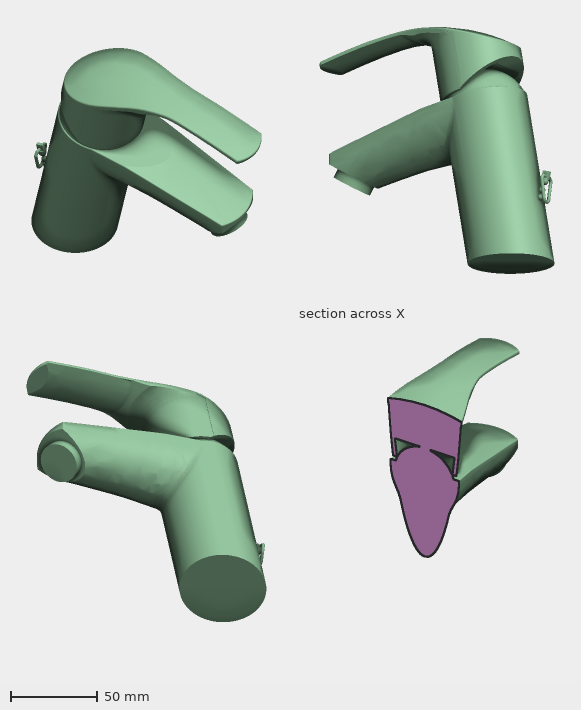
import cadquery as cq
import math

LEAN = 10.0

BODY_RADIUS = 25.0
BODY_LENGTH = 100.8
RIM_ROUND = 0.8
DOME_RADIUS = 25.1
DOME_CENTRE = 93.7

SPOUT_TOP = [(-3.0, 107.4), (41.3, 97.6), (78.1, 86.8), (116.0, 75.3), (126.2, 71.8)]
SPOUT_SECTIONS = [
    (21.0, 99.7, 65.0),
    (36.0, 96.9, 64.6),
    (58.6, 91.8, 62.3),
    (89.4, 83.5, 56.2),
    (120.2, 73.9, 47.8),
]
SPOUT_WALL = 3.9
SPOUT_TAPER = 0.076
OUTLET_TOP = (111.6, 69.0)
SPOUT_TIP = (116.5, 73.2)
SPOUT_END_X = 111.2
SPOUT_END_HALF_WIDTH = 17.0
SPOUT_CROWN_RADIUS = 120.2
JUNCTION_ROUND = 4.5
JUNCTION_BOX = [(22.5, -30.0, 60.1), (45.0, 30.0, 99.1)]

AERATOR_RADIUS = 23.6 / 2
AERATOR_HEIGHT = 9.0
AERATOR_TILT = 31.0
AERATOR_MOUTH = (105.8, 58.7)

HANDLE_RADIUS = 25.7
HANDLE_FRONT_RADIUS = 25.4
HANDLE_BOTTOM = 103.4
HANDLE_BACK_BOTTOM = 120.0
HANDLE_BEVEL_END = 2.3
HANDLE_HEIGHT = 60.1
BORE_RADIUS = 45.8 / 2
BORE_TOP = 115.7
LEVER_TOP = [
    (-9.0, 127.0),
    (-2.9, 130.4),
    (22.2, 140.8),
    (45.2, 144.5),
    (63.8, 144.7),
    (91.6, 140.5),
    (129.2, 130.2),
]
LEVER_CROWN_RADIUS = 87.1
LEVER_THICKNESS = 5.4
LEVER_EDGE_DROP = 3.2
LEVER_MIN_EDGE = 1.5
LEVER_HALF_WIDTH = 13.4
LEVER_SIDE = [(8.1, 24.5), (20.1, 20.6), (30.5, 17.0), (40.9, 14.5)]
LEVER_STRAIGHT_FROM = 53.5
LEVER_SHOULDER = 94.6
LEVER_TIP = 99.6
LEVER_TIP_BEVEL = [(111.8, 128.9), (126.2, 129.8)]
LEVER_RIM_ROUND = 1.0
NECK_START = 137.5
NECK_RADIUS = 9.0
NECK_TAIL = (43.5, 151.1)

LOOP_X = -23.5
WIRE_RADIUS = 2.0 / 2
LOOP_TOP = 49.1
LOOP_SHOULDER = 47.3
LOOP_BOTTOM_BEND = 37.0
LOOP_BOTTOM = 34.0
LOOP_TOP_HALF_WIDTH = 3.6
LOOP_SHOULDER_HALF_WIDTH = 5.4
LOOP_BOTTOM_HALF_WIDTH = 3.0
PLATE_SIZE = (4.5, 2.0, 4.5)
PLATE_TILT = 15.0
PLATE_CENTRE = (-23.3, 50.2)
CAP_RADIUS = 2.4
CAP_HEIGHT = 2.0
CAP_CENTRE = (-22.1, 46.5)
BALL_RADIUS = 3.8 / 2
BALLS = [(-20.7, 41.5), (-19.5, 37.3)]
CHAIN_WIRE_RADIUS = 0.7 / 2

WIDE = 90.1
CROWN_HALF_WIDTH = 28.5
CROWN_CLEARANCE = 37.5
UPWARD = 0.7


def leaning(shape):
    """Tip a shape built along Z onto the axis of the column."""
    return shape.rotate((0, 0, 0), (0, 1, 0), LEAN)


def crown_sag(radius, half_width):
    """Drop of a crowned surface from its middle to the given half width."""
    return radius - math.sqrt(radius**2 - half_width**2)


def path_and_plane(path_points):
    """Smooth path in XZ and the plane across its start, with local x along Y and local y upward."""
    path = cq.Workplane("XZ").spline(path_points)
    tangent = path.val().tangentAt(0)
    start = path.val().startPoint()
    return path, cq.Plane(origin=start, xDir=(0, 1, 0), normal=tangent)


def above_crown(path_points, radius):
    """Solid above a crowned surface that follows the path."""
    half = CROWN_HALF_WIDTH
    sag = crown_sag(radius, half)
    path, plane = path_and_plane(path_points)
    section = (
        cq.Workplane(plane)
        .moveTo(-half, -sag)
        .threePointArc((0, 0), (half, -sag))
        .lineTo(half, CROWN_CLEARANCE)
        .lineTo(-half, CROWN_CLEARANCE)
        .close()
    )
    return section.sweep(path)


def round_top_rim(shape, radius):
    """Round the outer rim of the faces that look upward, leaving the edges between them alone."""
    top_faces = [face for face in shape.faces().vals() if face.normalAt().z > UPWARD]
    top_edges = [edge for face in top_faces for edge in face.Edges()]
    rim = [edge for edge in top_edges if sum(edge.isSame(other) for other in top_edges) == 1]
    return shape.newObject(rim).fillet(radius)


def spout_section(spout, x, top, bottom):
    """Draw the U-shaped section across the spout at a distance x from the origin."""
    half = SPOUT_END_HALF_WIDTH + (SPOUT_END_X - x) * SPOUT_TAPER
    wall_end = top - SPOUT_WALL
    return (
        spout.copyWorkplane(cq.Workplane("YZ", origin=(x, 0, 0)))
        .moveTo(half, top + SPOUT_WALL)
        .lineTo(half, wall_end)
        .ellipseArc(half, wall_end - bottom, 180, 360, sense=-1)
        .lineTo(-half, top + SPOUT_WALL)
        .close()
    )


def make_spout():
    spout = cq.Workplane("YZ")
    for x, top, bottom in SPOUT_SECTIONS:
        spout = spout_section(spout, x, top, bottom)
    spout = spout.loft()
    outlet_slope = math.tan(math.radians(AERATOR_TILT))
    root_x = SPOUT_SECTIONS[0][0]
    side = (
        cq.Workplane("XZ")
        .moveTo(root_x, BODY_LENGTH)
        .lineTo(SPOUT_TIP[0], BODY_LENGTH)
        .lineTo(*SPOUT_TIP)
        .lineTo(*OUTLET_TOP)
        .lineTo(root_x, OUTLET_TOP[1] - (OUTLET_TOP[0] - root_x) * outlet_slope)
        .close()
        .extrude(WIDE / 2, both=True)
    )
    tip_plan = (
        cq.Workplane("XY")
        .moveTo(root_x, -BODY_RADIUS)
        .lineTo(SPOUT_END_X, -BODY_RADIUS)
        .lineTo(SPOUT_END_X, -SPOUT_END_HALF_WIDTH)
        .threePointArc((SPOUT_TIP[0], 0), (SPOUT_END_X, SPOUT_END_HALF_WIDTH))
        .lineTo(SPOUT_END_X, BODY_RADIUS)
        .lineTo(root_x, BODY_RADIUS)
        .close()
        .extrude(BODY_LENGTH + SPOUT_WALL)
    )
    return spout.intersect(side).intersect(tip_plan)


def make_dome():
    base_radius = math.sqrt(DOME_RADIUS**2 - (BODY_LENGTH - DOME_CENTRE)**2)
    profile = (
        cq.Workplane("XZ")
        .moveTo(0, DOME_CENTRE)
        .lineTo(base_radius, DOME_CENTRE)
        .lineTo(base_radius, BODY_LENGTH)
        .radiusArc((0, DOME_CENTRE + DOME_RADIUS), -DOME_RADIUS)
        .close()
    )
    return leaning(profile.revolve(360, (0, 0), (0, 1)))


def make_body():
    """Column and spout blended together, then trimmed to their top surfaces and rounded."""
    column = cq.Workplane("XY").workplane(offset=-BODY_RADIUS).circle(BODY_RADIUS)
    column = leaning(column.extrude(BODY_RADIUS + BODY_LENGTH + BODY_RADIUS))
    body = column.union(make_spout())

    junction = cq.selectors.BoxSelector(*JUNCTION_BOX)
    body = body.edges("%BSPLINE").edges(junction).fillet(JUNCTION_ROUND)

    slab = cq.Workplane("XY").box(4 * WIDE, WIDE, WIDE, centered=(True, True, False))
    above_column = leaning(slab.translate((0, 0, BODY_LENGTH)))
    body = body.cut(above_column).cut(above_crown(SPOUT_TOP, SPOUT_CROWN_RADIUS))
    body = body.cut(slab.translate((0, 0, -WIDE)))
    return round_top_rim(body, RIM_ROUND).union(make_dome())


def make_aerator():
    aerator = cq.Workplane("XY").circle(AERATOR_RADIUS).extrude(AERATOR_HEIGHT)
    aerator = aerator.rotate((0, 0, 0), (0, 1, 0), -AERATOR_TILT)
    return aerator.translate((AERATOR_MOUTH[0], 0, AERATOR_MOUTH[1]))


def make_blade():
    """Lever blade with a convex underside and spare material above its crown."""
    half = CROWN_HALF_WIDTH
    sag = crown_sag(LEVER_CROWN_RADIUS, half)
    edge_bottom = -sag - LEVER_MIN_EDGE
    path, plane = path_and_plane(LEVER_TOP)
    return (
        cq.Workplane(plane)
        .moveTo(-half, LEVER_THICKNESS)
        .lineTo(half, LEVER_THICKNESS)
        .lineTo(half, edge_bottom)
        .lineTo(LEVER_HALF_WIDTH, -LEVER_EDGE_DROP)
        .threePointArc((0, -LEVER_THICKNESS), (-LEVER_HALF_WIDTH, -LEVER_EDGE_DROP))
        .lineTo(-half, edge_bottom)
        .close()
        .sweep(path)
    )


def make_handle_core():
    """Round front with a flared neck, joined to a block that fills the back half."""
    neck_end = (HANDLE_FRONT_RADIUS + NECK_RADIUS, NECK_START + NECK_RADIUS)
    front = (
        cq.Workplane("XZ")
        .moveTo(0, HANDLE_BOTTOM)
        .lineTo(HANDLE_FRONT_RADIUS, HANDLE_BOTTOM)
        .lineTo(HANDLE_FRONT_RADIUS, NECK_START)
        .radiusArc(neck_end, NECK_RADIUS)
        .lineTo(*NECK_TAIL)
        .lineTo(0, NECK_TAIL[1])
        .close()
        .revolve(360, (0, 0), (0, 1))
    )
    back = (
        cq.Workplane("XZ")
        .moveTo(0, HANDLE_BOTTOM)
        .lineTo(0, HANDLE_BOTTOM + HANDLE_HEIGHT)
        .lineTo(-WIDE, HANDLE_BOTTOM + HANDLE_HEIGHT)
        .lineTo(-WIDE, HANDLE_BOTTOM)
        .close()
        .extrude(WIDE / 2, both=True)
    )
    return front.union(back)


def make_handle_outline():
    """Prism of the outline: round at the back, narrowing to the blade and its curved tip."""
    straight_start = (LEVER_STRAIGHT_FROM, -LEVER_HALF_WIDTH)
    right_side = [(u, -y) for u, y in LEVER_SIDE] + [straight_start]
    left_side = LEVER_SIDE[::-1] + [(0, HANDLE_RADIUS)]
    return (
        cq.Workplane("XY")
        .moveTo(0, HANDLE_RADIUS)
        .threePointArc((-HANDLE_RADIUS, 0), (0, -HANDLE_RADIUS))
        .spline(right_side, tangents=[(1, 0), (1, 0)], includeCurrent=True)
        .lineTo(LEVER_SHOULDER, -LEVER_HALF_WIDTH)
        .threePointArc((LEVER_TIP, 0), (LEVER_SHOULDER, LEVER_HALF_WIDTH))
        .lineTo(LEVER_STRAIGHT_FROM, LEVER_HALF_WIDTH)
        .spline(left_side, tangents=[(-1, 0), (-1, 0)], includeCurrent=True)
        .close()
        .extrude(HANDLE_BOTTOM + HANDLE_HEIGHT)
    )


def make_handle_recess():
    """Slanted cut under the back of the handle and the bore around the dome."""
    underside_bevel = (
        cq.Workplane("XZ")
        .moveTo(HANDLE_BEVEL_END, HANDLE_BOTTOM)
        .lineTo(-HANDLE_RADIUS, HANDLE_BACK_BOTTOM)
        .lineTo(-WIDE, HANDLE_BACK_BOTTOM)
        .lineTo(-WIDE, HANDLE_BOTTOM)
        .close()
        .extrude(WIDE / 2, both=True)
    )
    bore = cq.Workplane("XY").workplane(offset=HANDLE_BOTTOM).circle(BORE_RADIUS)
    return underside_bevel.union(bore.extrude(BORE_TOP - HANDLE_BOTTOM))


def make_handle():
    tip_bevel = (
        cq.Workplane("XZ")
        .polyline(LEVER_TIP_BEVEL)
        .lineTo(LEVER_TIP_BEVEL[1][0], BODY_LENGTH)
        .lineTo(LEVER_TIP_BEVEL[0][0], BODY_LENGTH)
        .close()
        .extrude(WIDE, both=True)
    )
    core = leaning(make_handle_core())
    handle = make_blade().union(core).intersect(leaning(make_handle_outline()))
    handle = handle.cut(tip_bevel).cut(leaning(make_handle_recess()))
    handle = handle.cut(above_crown(LEVER_TOP, LEVER_CROWN_RADIUS))
    return round_top_rim(handle, LEVER_RIM_ROUND)


def rod_between(start, end, radius):
    start = cq.Vector(*start)
    direction = cq.Vector(*end) - start
    return cq.Workplane(cq.Solid.makeCylinder(radius, direction.Length, start, direction))


def make_loop():
    """Closed wire loop: a rounded bottom bend carrying straight rods with ball corners."""
    bend_end = (LOOP_BOTTOM_HALF_WIDTH, LOOP_BOTTOM_BEND)
    bend = cq.Workplane("YZ", origin=(LOOP_X, 0, 0)).moveTo(-bend_end[0], bend_end[1])
    bend = bend.threePointArc((0, LOOP_BOTTOM), bend_end)
    bend_start = cq.Plane(bend.val().startPoint(), xDir=(1, 0, 0), normal=bend.val().tangentAt(0))
    loop = cq.Workplane(bend_start).circle(WIRE_RADIUS).sweep(bend)
    corners = [
        bend_end,
        (LOOP_SHOULDER_HALF_WIDTH, LOOP_SHOULDER),
        (LOOP_TOP_HALF_WIDTH, LOOP_TOP),
        (-LOOP_TOP_HALF_WIDTH, LOOP_TOP),
        (-LOOP_SHOULDER_HALF_WIDTH, LOOP_SHOULDER),
        (-bend_end[0], bend_end[1]),
    ]
    for (y1, z1), (y2, z2) in zip(corners, corners[1:]):
        rod = rod_between((LOOP_X, y1, z1), (LOOP_X, y2, z2), WIRE_RADIUS)
        loop = loop.union(rod)
    for y, z in corners:
        joint = cq.Workplane("XY").sphere(WIRE_RADIUS).translate((LOOP_X, y, z))
        loop = loop.union(joint)
    return loop


def make_eyelet():
    eyelet = make_loop()
    plate = cq.Workplane("XY").box(*PLATE_SIZE).rotate((0, 0, 0), (0, 1, 0), -PLATE_TILT)
    eyelet = eyelet.union(plate.translate((PLATE_CENTRE[0], 0, PLATE_CENTRE[1])))
    cap = (
        cq.Workplane("XZ")
        .lineTo(0, -CAP_RADIUS)
        .radiusArc((CAP_RADIUS, 0), -CAP_RADIUS)
        .lineTo(CAP_RADIUS, CAP_HEIGHT)
        .lineTo(0, CAP_HEIGHT)
        .close()
        .revolve(360, (0, 0), (0, 1))
        .rotate((0, 0, 0), (0, 1, 0), -PLATE_TILT)
    )
    eyelet = eyelet.union(cap.translate((CAP_CENTRE[0], 0, CAP_CENTRE[1])))
    link_start = CAP_CENTRE
    for x, z in BALLS:
        ball = cq.Workplane("XY").sphere(BALL_RADIUS).translate((x, 0, z))
        wire = rod_between((link_start[0], 0, link_start[1]), (x, 0, z), CHAIN_WIRE_RADIUS)
        eyelet = eyelet.union(ball).union(wire)
        link_start = (x, z)
    return eyelet


result = make_body().union(make_aerator()).union(make_handle()).union(make_eyelet())